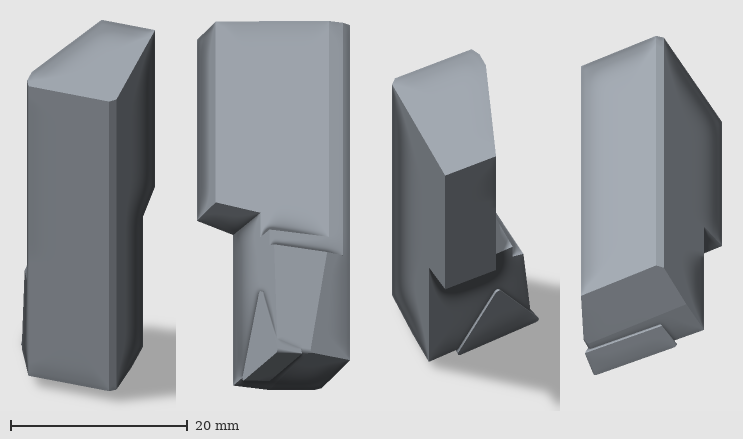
import cadquery as cq
import math


def tan(angle):
    return math.tan(math.radians(angle))


TOP = 42.0
DEPTH = 14.75
TIP_REACH = 13.96
MARGIN = 5.0

FRONT_LEFT = -10.27
FLANK_ANGLE = 25.0
FLANK_DEPTH = 1.04
SHANK_LEFT = FRONT_LEFT - FLANK_DEPTH * tan(FLANK_ANGLE)
SLANT_START = 2.72
BACK_LEFT = -6.37
CHAMFER = 0.65

SEAT_TILT = 3.0
SEAT_BACK = 10.40
RUNOUT_BACK = 20.14
RUNOUT_ANGLE = 15.0

LEDGE = 15.93
SHOULDER = 14.03
SHOULDER_ANGLE = 15.0
HEAD_LEFT = -13.23
HEAD_LEAN = 4.5
FRONT_BOTTOM = 1.53
RELIEF_ANGLE = 7.0
FLOOR = 0.78
NOSE_RADIUS = 0.45

INSCRIBED_DIAMETER = 6.35
THICKNESS = 3.18
CLEARANCE = 7.0
CORNER_RADIUS = 0.4
PROTRUSION = 0.33


def seat_plane(height):
    """Plane parallel to the seat, raised by height, with local Y along Z and its normal into the holder."""
    turn = math.radians(SEAT_TILT)
    origin = (0, SEAT_BACK + height / math.cos(turn), 0)
    x_dir = (math.cos(turn), math.sin(turn), 0)
    normal = (math.sin(turn), -math.cos(turn), 0)
    return cq.Plane(origin=origin, xDir=x_dir, normal=normal)


def make_shank():
    """Upper shank with its slanted left side."""
    outline = [
        (FRONT_LEFT, 0),
        (-CHAMFER, 0),
        (0, CHAMFER),
        (0, DEPTH),
        (BACK_LEFT, DEPTH),
        (SHANK_LEFT, SLANT_START),
        (SHANK_LEFT, FLANK_DEPTH),
    ]
    return cq.Workplane("XY").polyline(outline).close().extrude(TOP)


def make_shoulder():
    """Square block that fills the slanted side below the ledge."""
    return (
        cq.Workplane("XY")
        .moveTo(SHANK_LEFT, FLANK_DEPTH)
        .lineTo(BACK_LEFT, FLANK_DEPTH)
        .lineTo(BACK_LEFT, DEPTH)
        .lineTo(SHANK_LEFT, DEPTH)
        .close()
        .extrude(LEDGE)
    )


def make_head():
    """Leaning head: its side profile runs square to the seat and is trimmed by the front flank."""
    widening = tan(HEAD_LEAN)
    slope = tan(SHOULDER_ANGLE)
    corner_x = (HEAD_LEFT + widening * (SHOULDER - slope * SHANK_LEFT)) / (1 - widening * slope)
    corner_z = SHOULDER + slope * (corner_x - SHANK_LEFT)
    inner_z = SHOULDER + slope * (BACK_LEFT - SHANK_LEFT)
    floor_x = HEAD_LEFT + widening * FLOOR
    profile = [(BACK_LEFT, FLOOR), (floor_x, FLOOR), (corner_x, corner_z), (BACK_LEFT, inner_z)]
    head = (
        cq.Workplane(seat_plane(0))
        .polyline(profile)
        .close()
        .extrude(DEPTH)
        .edges("<X and <Z")
        .fillet(NOSE_RADIUS)
    )
    flank_trim = (
        cq.Workplane("XY")
        .moveTo(FRONT_LEFT, 0)
        .lineTo(FRONT_LEFT - DEPTH * tan(FLANK_ANGLE), DEPTH)
        .lineTo(BACK_LEFT, DEPTH)
        .lineTo(BACK_LEFT, 0)
        .close()
        .extrude(TOP)
    )
    return head.intersect(flank_trim)


def make_seat_cut():
    """Everything behind the seat plane, up to the sloping run-out."""
    behind = cq.Workplane(seat_plane(0)).rect(4 * DEPTH, 4 * TOP).extrude(-DEPTH)
    runout_fall = (DEPTH + MARGIN) * tan(RUNOUT_ANGLE)
    below_runout = (
        cq.Workplane("YZ")
        .moveTo(-MARGIN, RUNOUT_BACK - runout_fall)
        .lineTo(DEPTH + MARGIN, RUNOUT_BACK + MARGIN * tan(RUNOUT_ANGLE))
        .lineTo(DEPTH + MARGIN, -MARGIN)
        .lineTo(-MARGIN, -MARGIN)
        .close()
        .extrude(2 * DEPTH, both=True)
    )
    return behind.intersect(below_runout)


def make_underside_cut():
    """Relief that rises toward the front, with a flat floor behind it."""
    floor_start = (FRONT_BOTTOM - FLOOR) / tan(RELIEF_ANGLE)
    return (
        cq.Workplane("YZ")
        .moveTo(-MARGIN, FRONT_BOTTOM + MARGIN * tan(RELIEF_ANGLE))
        .lineTo(floor_start, FLOOR)
        .lineTo(DEPTH + MARGIN, FLOOR)
        .lineTo(DEPTH + MARGIN, -MARGIN)
        .lineTo(-MARGIN, -MARGIN)
        .close()
        .extrude(2 * DEPTH, both=True)
    )


def make_insert():
    """Triangular insert with rounded corners, standing on one edge and tapering into the holder."""
    inner_radius = INSCRIBED_DIAMETER / 2
    side = INSCRIBED_DIAMETER * math.sqrt(3)
    arc_inset = CORNER_RADIUS * math.sqrt(3)
    tip_x = -TIP_REACH / math.cos(math.radians(SEAT_TILT))
    left = tip_x + CORNER_RADIUS - arc_inset
    corners = [(left, 0), (left + side, 0), (left + side / 2, 3 * inner_radius)]
    triangle = cq.Sketch().polygon(corners + corners[:1]).vertices().fillet(CORNER_RADIUS)
    return cq.Workplane(seat_plane(PROTRUSION)).placeSketch(triangle).extrude(THICKNESS, taper=CLEARANCE)


insert = make_insert()
holder = (
    make_shank()
    .union(make_shoulder())
    .union(make_head())
    .cut(make_seat_cut())
    .cut(make_underside_cut())
    .cut(insert)
)

result = cq.Compound.makeCompound([holder.val(), insert.val()])